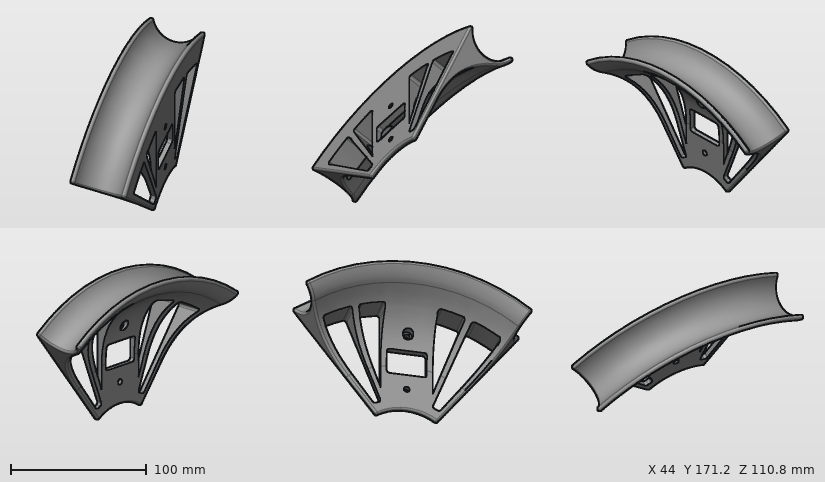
import cadquery as cq
import math

width = 44.0
outer_radius = 143.2
hub_radius = 39.2
side_angle = 37.5
side_offset = 1.4
edge_round = 1.63

plate_thickness = 4.3
rim = 1.9
plate_face = width - plate_thickness
mid_x = width / 2
rim_radius = outer_radius - rim
wall_drop = 12.7
blend_start = 76.5
blend_slope = 60.0

panel_half = 19.9
window_top_radius = 120.8
window_bottom_radius = 47.8
window_round = 2.0
spoke_inner_slope = 0.357
spoke_outer_slope = 0.384
spoke_outer_offset = 2.7
rail_slope = 0.733
rail_offset = -5.1
opening_width = 30.5
opening_bottom = 68.9
opening_top = 89.1
opening_round = 2.4
hole_diameter = 4.3
counterbore_diameter = 8.0
lower_hole_z = 56.5
upper_hole_z = 101.6


def toward(start, target, distance):
    """Point at a signed distance from start on the line to target."""
    share = distance / math.dist(start, target)
    return tuple(a + (b - a) * share for a, b in zip(start, target))


def sector_body():
    """Revolved trough and plate, trimmed by the two slanted side faces."""
    half_span = mid_x - rim
    wall_radius = (half_span**2 + wall_drop**2) / (2 * wall_drop)
    groove_centre = (mid_x, rim_radius - wall_drop + wall_radius)
    left_rim = (rim, rim_radius)
    right_rim = (width - rim, rim_radius)
    groove_radius = wall_radius - rim
    back_radius = wall_radius + rim

    slope = math.radians(blend_slope)
    blend_end = (
        groove_centre[0] - back_radius * math.cos(slope),
        groove_centre[1] - back_radius * math.sin(slope),
    )
    left_back = toward(groove_centre, left_rim, back_radius)
    chord_middle = tuple((a + b) / 2 for a, b in zip(left_back, blend_end))
    back_middle = toward(groove_centre, chord_middle, back_radius)

    section = (
        cq.Workplane("XY")
        .moveTo(plate_face, hub_radius)
        .lineTo(width, hub_radius)
        .lineTo(width, rim_radius)
        .threePointArc((width - rim, outer_radius), toward(groove_centre, right_rim, groove_radius))
        .threePointArc(
            (mid_x, groove_centre[1] - groove_radius),
            toward(groove_centre, left_rim, groove_radius),
        )
        .threePointArc((rim, outer_radius), left_back)
        .threePointArc(back_middle, blend_end)
        .spline(
            [(plate_face, blend_start)],
            tangents=[(math.sin(slope), -math.cos(slope)), (0, -1)],
            includeCurrent=True,
        )
        .close()
    )
    ring = section.revolve(180, (0, 0, 0), (1, 0, 0))

    apex_z = side_offset / math.tan(math.radians(side_angle))
    wedge_top = outer_radius + plate_thickness
    wedge_half = (wedge_top - apex_z) * math.tan(math.radians(side_angle))
    wedge = (
        cq.Workplane("YZ")
        .polyline([(0, apex_z), (wedge_half, wedge_top), (-wedge_half, wedge_top)])
        .close()
        .extrude(width * 2, both=True)
    )
    return ring.intersect(wedge)


def disc(radius):
    return cq.Workplane("YZ").circle(radius).extrude(width * 2, both=True)


def window_cutter(corners):
    """Straight-sided window bounded above and below by arcs about the axis."""
    blank = cq.Workplane("YZ").polyline(corners).close().extrude(width * 2, both=True)
    return blank.intersect(disc(window_top_radius)).cut(disc(window_bottom_radius))


def windows():
    """The two windows on the +Y side."""
    top = outer_radius
    inner = window_cutter(
        [
            (panel_half, panel_half / spoke_inner_slope),
            (spoke_inner_slope * top, top),
            (panel_half, top),
        ]
    )
    inner = inner.edges("|X and (>Z or >Y)").fillet(window_round)
    meet_z = (spoke_outer_offset - rail_offset) / (rail_slope - spoke_outer_slope)
    outer = window_cutter(
        [
            (spoke_outer_offset + spoke_outer_slope * meet_z, meet_z),
            (rail_offset + rail_slope * top, top),
            (spoke_outer_offset + spoke_outer_slope * top, top),
        ]
    )
    outer = outer.edges("|X").fillet(window_round)
    return [inner, outer]


def opening():
    height = opening_top - opening_bottom
    return (
        cq.Workplane("XY")
        .box(width * 2, opening_width, height)
        .edges("|X")
        .fillet(opening_round)
        .translate((width, 0, opening_bottom + height / 2))
    )


def bore(diameter, z, length):
    return cq.Workplane("YZ").center(0, z).circle(diameter / 2).extrude(length)


body = sector_body()
side_edges = body.faces("<Y or >Y").edges()
hub_zone = cq.selectors.BoxSelector(
    (0, -plate_thickness, 0), (width * 2, plate_thickness, hub_radius + edge_round)
)
hub_edges = body.edges(hub_zone)
body = body.newObject(side_edges.vals() + hub_edges.vals()).fillet(edge_round)
for window in windows():
    body = body.cut(window).cut(window.mirror("XZ"))
body = body.cut(opening())
for hole_z in (lower_hole_z, upper_hole_z):
    body = body.cut(bore(hole_diameter, hole_z, width))
result = body.cut(bore(counterbore_diameter, upper_hole_z, plate_face))